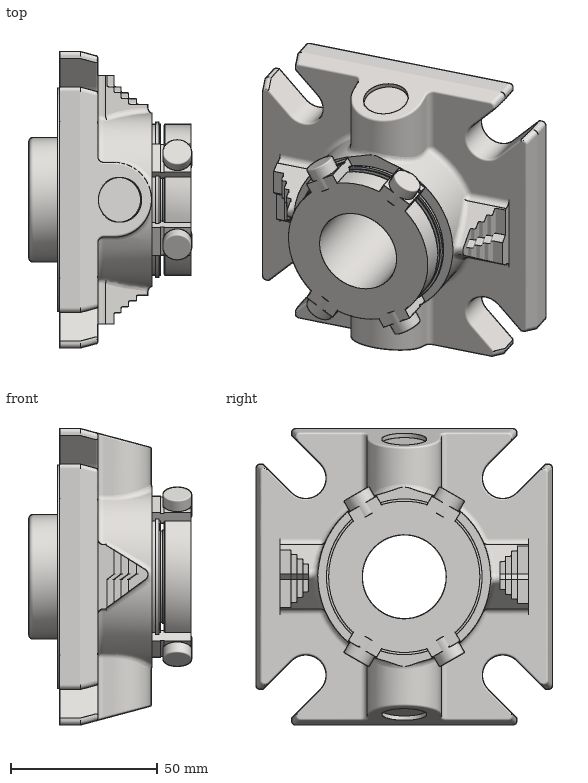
import cadquery as cq
import math

TOLERANCE = 0.01

FLANGE_SIZE = 101.4
TAPER_START = 7.1
FLANGE_FACE = 13.1
TAPER_ANGLE = 15.0
SLEEVE_BACK = -10.5
HUB_FACE = 31.6
COLLAR_FRONT = 45.0

LIP_OFFSET = 38.5
CORNER_RADIUS = 1.5
RIM_RADIUS = 0.7
SLOT_RADIUS = 6.9
SLOT_CENTRE = 33.6
SLOT_ANGLES = (45.0, 135.0, 225.0, 315.0)
PAD_DIAMETER = 76.5
PAD_HEIGHT = 0.7

OPPOSITE_SIDES = (0.0, 180.0)

HUB_RADIUS = 29.5
BLEND_RADIUS = 2.0
HUB_EXCESS = 5.1
HUB_SEAM_ANGLE = 45.0
BOSS_RADIUS = 12.8
BOSS_CENTRE_X = 18.6
RECESS_DIAMETER = 15.3
RECESS_CENTRE_X = 20.7
RECESS_DEPTH = 1.5

RIB_HALF_WIDTH = 10.9
RIB_SHOULDER_X = 15.7
RIB_TIP_X = 30.2
RIB_TIP_START_X = 29.1
RIB_TIP_HIGH_Z = 2.6
RIB_TIP_LOW_Z = -1.1
RIB_HEIGHTS = (42.5, 38.6, 36.6, 34.6, 32.6)
TALL_STEPS = (18.6, 21.1, 23.6, 26.4)
SHORT_STEPS = (16.2, *TALL_STEPS[:-1])
STEP_JOG_HALF_WIDTH = 0.9
STEP_EDGE_RADIUS = 0.5

BORE_DIAMETER = 28.6
SLEEVE_DIAMETER = 42.7
SLEEVE_EDGE_RADIUS = 1.6
CORE_DIAMETER = 31.3
CORE_LIP_DIAMETER = 31.8
CORE_LIP_BACK = 35.2
COLLAR_DIAMETER = 51.7
COLLAR_BACK = 35.7
COLLAR_CHAMFER = 0.4
SEAL_RING_FRONT = 34.5
SLINGER_DIAMETER = 53.2
SLINGER_BACK = 32.8
SLINGER_FRONT = 34.0

SCREW_ANGLES = (60.0, 120.0, 240.0, 300.0)
SCREW_X = 40.2
SCREW_DIAMETER = 9.9
SCREW_TOP = 32.7
SCREW_EDGE_RADIUS = 0.4
SEAT_TOP = 28.6
SEAT_BOTTOM = 24.3
SEAT_WIDTH = 11.1
SEAT_GROOVE_DEPTH = 0.3


def disc(diameter, x_start, x_end):
    """Solid disc on the X axis."""
    return cq.Workplane("YZ", origin=(x_start, 0, 0)).circle(diameter / 2).extrude(x_end - x_start)


def box(x_start, x_end, width, z_start, z_end):
    """Block centred on Y = 0."""
    size = (x_end - x_start, width, z_end - z_start)
    return cq.Workplane("XY").box(*size, centered=(False, True, False)).translate((x_start, 0, z_start))


def about_x(shape, angle):
    return shape.rotate((0, 0, 0), (1, 0, 0), angle)


def taper_drop(x):
    """Inward shift of the tapered outer sides at x."""
    return (x - TAPER_START) * math.tan(math.radians(TAPER_ANGLE))


def plus_section(half):
    """Square of the given half size with square notches at its corners."""
    lip = LIP_OFFSET + half - FLANGE_SIZE / 2
    return [
        (half, -lip), (half, lip), (lip, lip), (lip, half),
        (-lip, half), (-lip, lip), (-half, lip), (-half, -lip),
        (-lip, -lip), (-lip, -half), (lip, -half), (lip, -lip),
    ]


def make_flange():
    half = FLANGE_SIZE / 2
    plate = cq.Workplane("YZ").polyline(plus_section(half)).close().extrude(TAPER_START)
    front = (
        cq.Workplane("YZ", origin=(TAPER_START, 0, 0))
        .polyline(plus_section(half)).close()
        .workplane(offset=FLANGE_FACE - TAPER_START)
        .polyline(plus_section(half - taper_drop(FLANGE_FACE))).close()
        .loft(ruled=True)
    )

    reach = LIP_OFFSET + half - 2 * taper_drop(FLANGE_FACE) - CORNER_RADIUS

    def is_lip_corner(edge):
        middle = edge.Center()
        return abs(middle.y) + abs(middle.z) > reach

    def round_lips(piece):
        return piece.edges("not(#X)").filter(is_lip_corner).fillet(CORNER_RADIUS)

    return round_lips(plate).union(round_lips(front))


def make_slot():
    """Round-ended slot open towards +Z."""
    centre_z = SLOT_CENTRE * math.sqrt(2)
    round_end = disc(2 * SLOT_RADIUS, 0, FLANGE_FACE).translate((0, 0, centre_z))
    return round_end.union(box(0, FLANGE_FACE, 2 * SLOT_RADIUS, centre_z, FLANGE_SIZE))


def make_boss():
    """Round-nosed boss whose top continues the taper of the flange side."""
    nose_x = BOSS_CENTRE_X + BOSS_RADIUS
    boss = (
        cq.Workplane("XY")
        .moveTo(TAPER_START, -BOSS_RADIUS)
        .lineTo(BOSS_CENTRE_X, -BOSS_RADIUS)
        .threePointArc((nose_x, 0), (BOSS_CENTRE_X, BOSS_RADIUS))
        .lineTo(TAPER_START, BOSS_RADIUS)
        .close()
        .extrude(FLANGE_SIZE / 2)
    )
    side = (
        cq.Workplane("XZ")
        .moveTo(TAPER_START, 0)
        .lineTo(nose_x, 0)
        .lineTo(nose_x, FLANGE_SIZE / 2 - taper_drop(nose_x))
        .lineTo(TAPER_START, FLANGE_SIZE / 2)
        .close()
        .extrude(BOSS_RADIUS, both=True)
    )
    return boss.intersect(side)


def boss_recess():
    """Shallow round recess square to the sloping boss top."""
    tilt = math.radians(TAPER_ANGLE)
    top = FLANGE_SIZE / 2 - taper_drop(RECESS_CENTRE_X)
    plane = cq.Plane(
        origin=(RECESS_CENTRE_X, 0, top),
        xDir=(0, 1, 0),
        normal=(math.sin(tilt), 0, math.cos(tilt)),
    )
    return cq.Workplane(plane).circle(RECESS_DIAMETER / 2).extrude(RECESS_DEPTH, both=True)


def make_rib():
    """Full-height pointed rib at -Y."""
    return (
        cq.Workplane("XZ")
        .moveTo(TAPER_START, -RIB_HALF_WIDTH)
        .lineTo(RIB_SHOULDER_X, -RIB_HALF_WIDTH)
        .lineTo(RIB_TIP_START_X, RIB_TIP_LOW_Z)
        .threePointArc(
            (RIB_TIP_X, (RIB_TIP_LOW_Z + RIB_TIP_HIGH_Z) / 2),
            (RIB_TIP_START_X, RIB_TIP_HIGH_Z),
        )
        .lineTo(RIB_SHOULDER_X, RIB_HALF_WIDTH)
        .lineTo(TAPER_START, RIB_HALF_WIDTH)
        .close()
        .extrude(RIB_HEIGHTS[0])
    )


def stair_cutter(steps, z_start, z_end):
    """Material above the stairs that go down from the flange, for a rib at -Y."""
    outline = cq.Workplane("XY", origin=(0, 0, z_start)).moveTo(HUB_FACE, -FLANGE_SIZE / 2)
    outline = outline.lineTo(steps[0], -FLANGE_SIZE / 2)
    for x, upper, lower in zip(steps, RIB_HEIGHTS, RIB_HEIGHTS[1:]):
        outline = outline.lineTo(x, -upper).lineTo(x, -lower)
    cutter = outline.lineTo(HUB_FACE, -RIB_HEIGHTS[-1]).close().extrude(z_end - z_start)
    stairs = cq.selectors.BoxSelector(
        (steps[0] - 1, -RIB_HEIGHTS[0] + 1, z_start), (steps[-1] + 1, 0, z_end)
    )
    return cutter.edges("|Z").edges(stairs).fillet(STEP_EDGE_RADIUS)


def sample_points(edge):
    """Both ends of an edge and one point between them."""
    return [edge.positionAt(part) for part in (0, 0.3, 1)]


def on_hub(point):
    return abs(math.hypot(point.y, point.z) - HUB_RADIUS) < TOLERANCE


def on_flange_face(point):
    return abs(point.x - FLANGE_FACE) < TOLERANCE


def on_tapered_side(point):
    outer = FLANGE_SIZE / 2 - taper_drop(point.x)
    return abs(max(abs(point.y), abs(point.z)) - outer) < TOLERANCE


def around_slot(point):
    return min(abs(point.y), abs(point.z)) > SLOT_CENTRE - SLOT_RADIUS - TOLERANCE


def on_rib_end(point):
    return abs(abs(point.y) - RIB_HEIGHTS[0]) < TOLERANCE


def is_foot(edge):
    """Edge where the hub, a boss or a rib side meets what it stands on."""
    points = sample_points(edge)
    if all(on_rib_end(point) for point in points):
        return False
    if all(on_hub(point) for point in points):
        return max(point.x for point in points) < HUB_FACE
    return all(on_flange_face(point) for point in points) and not is_rim(edge)


def is_rim(edge):
    """Edge around the front of the flange and its slots, or around the top of a boss."""
    points = sample_points(edge)
    if min(point.x for point in points) < FLANGE_FACE - TOLERANCE:
        return False
    if all(on_tapered_side(point) for point in points):
        return True
    return all(on_flange_face(point) and around_slot(point) for point in points)


def make_housing():
    hub = disc(2 * HUB_RADIUS, TAPER_START, HUB_FACE + HUB_EXCESS)
    housing = make_flange().union(about_x(hub, HUB_SEAM_ANGLE))
    for angle in OPPOSITE_SIDES:
        housing = housing.union(about_x(make_boss(), angle)).union(about_x(make_rib(), angle))
    housing = housing.edges().filter(is_foot).fillet(BLEND_RADIUS)
    for angle in SLOT_ANGLES:
        housing = housing.cut(about_x(make_slot(), angle))
    housing = housing.edges().filter(is_rim).fillet(RIM_RADIUS)
    housing = housing.cut(disc(2 * FLANGE_SIZE, HUB_FACE, HUB_FACE + HUB_EXCESS))

    rib_reach = RIB_HALF_WIDTH + BLEND_RADIUS
    tall_cutter = stair_cutter(TALL_STEPS, STEP_JOG_HALF_WIDTH, rib_reach)
    short_cutter = stair_cutter(SHORT_STEPS, -rib_reach, -STEP_JOG_HALF_WIDTH)
    jog_ends = [short_cutter.wires(">Z").val(), tall_cutter.wires("<Z").val()]
    jog_cutter = cq.Workplane(cq.Solid.makeLoft(jog_ends, True))
    for angle in OPPOSITE_SIDES:
        housing = housing.cut(about_x(boss_recess(), angle))
        for cutter in (tall_cutter, jog_cutter, short_cutter):
            housing = housing.cut(about_x(cutter, angle))
    return housing


def make_bearing():
    sleeve = disc(SLEEVE_DIAMETER, SLEEVE_BACK, 0).faces("<X").edges().fillet(SLEEVE_EDGE_RADIUS)
    collar = disc(COLLAR_DIAMETER, COLLAR_BACK, COLLAR_FRONT).faces("<X").chamfer(COLLAR_CHAMFER)
    bearing = sleeve.union(disc(PAD_DIAMETER, -PAD_HEIGHT, 0))
    bearing = bearing.union(disc(CORE_DIAMETER, 0, COLLAR_FRONT))
    bearing = bearing.union(disc(CORE_LIP_DIAMETER, CORE_LIP_BACK, COLLAR_FRONT))
    bearing = bearing.union(disc(COLLAR_DIAMETER, 0, SEAL_RING_FRONT))
    return bearing.union(disc(SLINGER_DIAMETER, SLINGER_BACK, SLINGER_FRONT)).union(collar)


def make_screw():
    """Lock screw head on its seat, pointing along +Y."""
    seat = box(HUB_FACE, COLLAR_FRONT, SEAT_WIDTH, SEAT_BOTTOM, SEAT_TOP)
    groove = box(SEAL_RING_FRONT, COLLAR_BACK, SEAT_WIDTH, SEAT_TOP - SEAT_GROOVE_DEPTH, SEAT_TOP)
    head = (
        cq.Workplane("XY", origin=(SCREW_X, 0, SEAT_BOTTOM))
        .circle(SCREW_DIAMETER / 2)
        .extrude(SCREW_TOP - SEAT_BOTTOM)
        .faces(">Z").edges().fillet(SCREW_EDGE_RADIUS)
    )
    return about_x(seat.cut(groove).union(head), -90)


result = make_housing().union(make_bearing())
screw = make_screw()
for screw_angle in SCREW_ANGLES:
    result = result.union(about_x(screw, screw_angle))
result = result.cut(disc(BORE_DIAMETER, SLEEVE_BACK, COLLAR_FRONT))